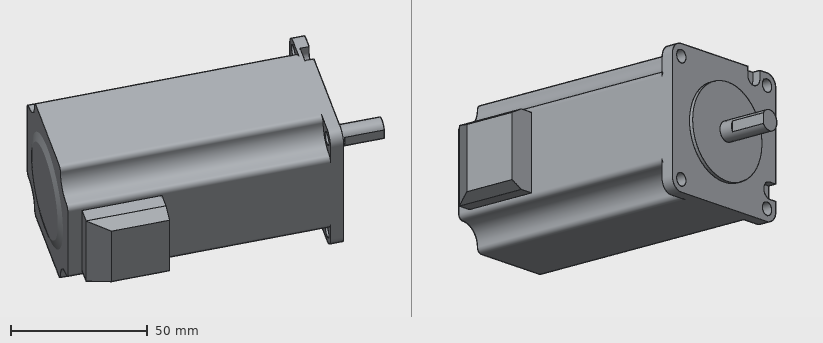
import cadquery as cq


width = 57.0
half_width = width / 2
body_length = 104.3
flange_thickness = 5.0
corner_radius = 5.0
hole_offset = 23.6
hole_diameter = 5.1

relief_radius = 8.0
lip_radius = 2.3

notch_radius = 3.3
notch_depth = 3.5
notch_offset = 16.3
notch_center_inset = 3.3

pilot_diameter = 38.1
pilot_height = 1.5
shaft_diameter = 8.0
shaft_length = 20.7
flat_distance = 3.5
flat_length = 15.0
cover_diameter = 43.9
cover_top_diameter = 36.8
cover_height = 1.0

connector_height = 10.7
connector_base_height = 5.6
connector_half_width = 15.4
connector_tip_half_width = 12.9
connector_front = 35.6
connector_rear = 5.4
connector_slope_end = 13.5

rear_y = -body_length
shaft_end = pilot_height + shaft_length


def section(y):
    """Sketch plane at height y facing -Y; local X is +X and local Y is +Z."""
    return cq.Workplane("XZ", origin=(0, y, 0))


def make_body():
    return section(0).rect(width, width).extrude(body_length).edges("|Y").fillet(corner_radius)


def make_corner_relief():
    """Cutter for the corner at +X +Z, running from behind the flange to the rear."""
    lip_start = half_width - relief_radius - 2 * lip_radius
    relief_edge = lip_start + lip_radius
    center = half_width - lip_radius
    lip = cq.Workplane("XZ", origin=(0, -flange_thickness, 0)).moveTo(lip_start, half_width)
    outline = (
        lip.radiusArc((relief_edge, center), lip_radius)
        .radiusArc((center, relief_edge), -relief_radius)
        .radiusArc((half_width, lip_start), lip_radius)
        .lineTo(half_width, half_width)
        .close()
    )
    return outline.extrude(body_length - flange_thickness)


def make_notch():
    """Cutter for the U-shaped notch in the top edge, open to the flange front."""
    center_z = half_width - notch_center_inset
    round_end = section(0).center(-notch_offset, center_z).circle(notch_radius).extrude(notch_depth)
    straight = (
        section(0)
        .center(-notch_offset, center_z + notch_center_inset / 2)
        .rect(2 * notch_radius, notch_center_inset)
        .extrude(notch_depth)
    )
    return round_end.union(straight)


def make_front():
    pilot = section(pilot_height).circle(pilot_diameter / 2).extrude(pilot_height)
    shaft = section(shaft_end).circle(shaft_diameter / 2).extrude(shaft_length)
    flat = (
        section(shaft_end)
        .center(flat_distance + shaft_diameter / 2, 0)
        .rect(shaft_diameter, shaft_diameter)
        .extrude(flat_length)
    )
    return pilot.union(shaft.cut(flat))


def make_cover():
    return (
        section(rear_y)
        .circle(cover_diameter / 2)
        .workplane(offset=cover_height)
        .circle(cover_top_diameter / 2)
        .loft()
    )


def make_connector():
    base_x = half_width + connector_base_height
    tip_x = half_width + connector_height
    front_y = rear_y + connector_front
    back_y = rear_y + connector_rear
    side_profile = (
        cq.Workplane("XY", origin=(0, 0, -connector_half_width))
        .moveTo(half_width, front_y)
        .lineTo(tip_x, front_y)
        .lineTo(tip_x, rear_y + connector_slope_end)
        .lineTo(base_x, back_y)
        .lineTo(half_width, back_y)
        .close()
        .extrude(2 * connector_half_width)
    )
    end_profile = (
        section(front_y)
        .moveTo(half_width, -connector_half_width)
        .lineTo(base_x, -connector_half_width)
        .lineTo(tip_x, -connector_tip_half_width)
        .lineTo(tip_x, connector_tip_half_width)
        .lineTo(base_x, connector_half_width)
        .lineTo(half_width, connector_half_width)
        .close()
        .extrude(connector_front - connector_rear)
    )
    return side_profile.intersect(end_profile)


body = make_body()
relief = make_corner_relief()
for quarter in range(4):
    body = body.cut(relief.rotate((0, 0, 0), (0, 1, 0), 90 * quarter))

holes = section(0).rect(2 * hole_offset, 2 * hole_offset, forConstruction=True).vertices()
body = body.cut(holes.circle(hole_diameter / 2).extrude(flange_thickness))

notch = make_notch()
for turn in (0, -90):
    body = body.cut(notch.rotate((0, 0, 0), (0, 1, 0), turn))

result = body.union(make_front()).union(make_cover()).union(make_connector())